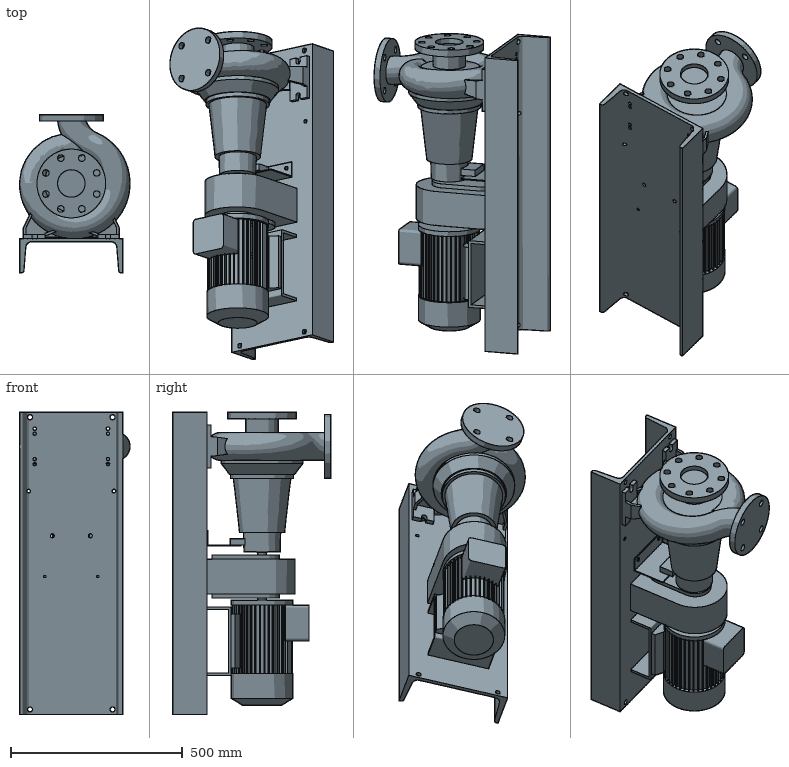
import cadquery as cq
import math


FRAME_LENGTH = 880.0
FRAME_WIDTH = 300.0
FRAME_DEPTH = 100.0
FRAME_BACK_Y = -160.0
WEB_THICKNESS = 10.0
FLANGE_THICKNESS = 16.0
FLANGE_SLOPE = 0.08
ROOT_RADIUS = 16.0
TOE_RADIUS = 8.0
CORNER_HOLE_X = 120.0
CORNER_HOLE_INSET = 15.0
CORNER_HOLE_DIAMETER = 14.0
SIDE_HOLE_X = 124.0
SIDE_HOLE_Z = -230.0
SIDE_HOLE_DIAMETER = 10.0

FLANGE_BOLT_DIAMETER = 19.0
SUCTION_RADIUS = 100.0
SUCTION_THICKNESS = 20.0
SUCTION_BOLT_RADIUS = 80.0
SUCTION_BOLT_COUNT = 8
SUCTION_BORE_RADIUS = 40.0
SUCTION_BORE_DEPTH = 15.0
NECK_RADIUS = 47.5
DISCHARGE_RADIUS = 93.0
DISCHARGE_THICKNESS = 18.5
DISCHARGE_BOLT_RADIUS = 70.0
DISCHARGE_BOLT_COUNT = 4
DISCHARGE_FACE_Y = 200.0

VOLUTE_Z = -100.0
TUBE_RADIUS = 41.0
RING_RADIUS = 120.0
RING_CENTER_X = 10.0
OUTLET_ANGLE = 66.5
SPIRAL_RADIUS = RING_RADIUS - RING_CENTER_X
SPIRAL_END_ANGLE = 70.0
SPIRAL_END_TUBE_RADIUS = 34.0
CORE_RADIUS = 95.0
CORE_TOP_Z = -71.0
CORE_EDGE_Z = -78.0

COVER_RADIUS = 119.0
COVER_TOP_Z = -139.0
COVER_BOTTOM_Z = -150.0
LANTERN_CONE_RADIUS = 95.0
LANTERN_RADIUS = 92.0
LANTERN_TOP_Z = -181.5
LANTERN_BOTTOM_Z = -193.5
BEARING_TOP_RADIUS = 84.0
BEARING_BOTTOM_RADIUS = 66.0
BEARING_BOTTOM_Z = -351.0
NOSE_TOP_RADIUS = 54.5
NOSE_BOTTOM_RADIUS = 53.0
NOSE_BOTTOM_Z = -407.0
SHAFT_RADIUS = 13.0
SHAFT_COLLAR_RADIUS = 17.0
SHAFT_COLLAR_LENGTH = 2.0

PAD_WIDTH = 80.0
PAD_HEIGHT = 19.0
PAD_NEAR_Y = -49.5
PAD_FAR_Y = -93.0

BRACKET_THICKNESS = 3.0
BRACKET_WIDTH = 150.0
BRACKET_FRONT_Y = -61.0
BRACKET_TOP_Z = -344.0
BRACKET_BOTTOM_Z = -390.0
BRACKET_HOLE_X = 55.0
BRACKET_HOLE_Z = -360.0
BRACKET_HOLE_DIAMETER = 11.0

FOOT_OUTER_X = 140.0
FOOT_INNER_X = 77.0
FOOT_HEIGHT = 126.0
FOOT_THICKNESS = 12.0
FOOT_TOP_Y = FRAME_BACK_Y + FOOT_THICKNESS
FOOT_WALL = 8.0
FOOT_WALL_BEND_Y = -129.0
FOOT_WALL_END_X = 118.0
FOOT_WALL_END_Y = -84.0
FOOT_WALL_BASE_HALF_HEIGHT = 29.0
FOOT_WALL_END_HALF_HEIGHT = 20.5
FOOT_WEB_THICKNESS = 10.0
INNER_WALL_START_Y = -145.0
INNER_WALL_END_X = 45.0
INNER_WALL_END_Y = -133.0
FOOT_BOLT_X = 106.5
FOOT_BOLT_OFFSETS_Z = (37.0, 51.5)
FOOT_BOLT_DIAMETER = 9.5
FOOT_SLOT_WIDTH = 15.0
FOOT_SLOT_OFFSET_Z = 51.5

GUARD_CENTER_Y = 3.0
GUARD_RADIUS = 93.5
GUARD_TOP_Z = -427.5
GUARD_BOTTOM_Z = -529.5
COLLAR_RADIUS = 47.0
COLLAR_SPREAD = 102.0
COLLAR_HEIGHT = 12.0
GUARD_HOLE_X = 77.0
GUARD_HOLE_Z = (GUARD_TOP_Z + GUARD_BOTTOM_Z) / 2
GUARD_HOLE_DIAMETER = 7.0

MOTOR_RADIUS = 90.0
MOTOR_TOP_Z = -547.0
MOTOR_FLANGE_BOTTOM_Z = -561.5
COWL_TOP_Z = -760.0
COWL_BOTTOM_Z = -833.0
COWL_END_Z = -853.0
COWL_END_RADIUS = 57.0
FIN_COUNT = 40
FIN_WIDTH = 2.5
FIN_OUTER_RADIUS = 88.0
FIN_ROOT_RADIUS = 80.0
BOX_WIDTH = 112.0
BOX_TOP_Z = MOTOR_FLANGE_BOTTOM_Z
BOX_HEIGHT = 105.0
BOX_FRONT_Y = 137.0
BOX_BACK_Y = 64.0
BOX_EDGE_RADIUS = 9.0
MOTOR_FOOT_HALF_WIDTH = 90.0
MOTOR_FOOT_TOP_Z = -588.0
MOTOR_FOOT_BOTTOM_Z = -745.0
MOTOR_FOOT_EDGE_Y = -78.0
MOTOR_FOOT_SHOULDER_X = 66.0
MOTOR_FOOT_SHOULDER_Y = -64.0

STAND_WIDTH = 184.0
STAND_THICKNESS = 8.0
STAND_TOP_Z = -567.0
STAND_BOTTOM_Z = -767.0
STAND_BEND_RADIUS = 3.0


def cylinder(radius, bottom_z, top_z, x=0.0, y=0.0):
    """Upright cylinder between two heights."""
    return cq.Workplane("XY", origin=(x, y, bottom_z)).circle(radius).extrude(top_z - bottom_z)


def block(x0, x1, y0, y1, z0, z1):
    """Box given by its limits along each axis."""
    return cq.Workplane("XY").box(x1 - x0, y1 - y0, z1 - z0, centered=False).translate((x0, y0, z0))


def holes_along_y(points, diameter, start_y, length):
    """Round bars at the given (x, z) points, running from start_y toward -Y."""
    plane = cq.Workplane("XZ", origin=(0, start_y, 0))
    return plane.pushPoints(points).circle(diameter / 2).extrude(length)


def mirrored(x, z):
    """The two (x, z) points on either side of the shaft axis."""
    return [(-x, z), (x, z)]


def bracket_hole_points():
    return mirrored(BRACKET_HOLE_X, BRACKET_HOLE_Z)


def foot_bolt_points():
    """Two rows of frame holes above and two below the volute centre, on both sides."""
    points = []
    for offset in FOOT_BOLT_OFFSETS_Z:
        points += mirrored(FOOT_BOLT_X, VOLUTE_Z + offset)
        points += mirrored(FOOT_BOLT_X, VOLUTE_Z - offset)
    return points


def make_frame():
    half = FRAME_WIDTH / 2
    toe_y = FRAME_BACK_Y - FRAME_DEPTH
    web_y = FRAME_BACK_Y - WEB_THICKNESS
    toe_thickness = FLANGE_THICKNESS - FLANGE_SLOPE * FRAME_DEPTH / 2
    root_thickness = FLANGE_THICKNESS + FLANGE_SLOPE * (FRAME_DEPTH / 2 - WEB_THICKNESS)
    toe_x = half - toe_thickness
    root_x = half - root_thickness
    outline = [
        (-half, FRAME_BACK_Y),
        (half, FRAME_BACK_Y),
        (half, toe_y),
        (toe_x, toe_y),
        (root_x, web_y),
        (-root_x, web_y),
        (-toe_x, toe_y),
        (-half, toe_y),
    ]
    frame = cq.Workplane("XY").polyline(outline).close().extrude(-FRAME_LENGTH)
    for sign in (-1, 1):
        root = cq.selectors.NearestToPointSelector((sign * root_x, web_y, -FRAME_LENGTH / 2))
        frame = frame.edges(root).fillet(ROOT_RADIUS)
        toe = cq.selectors.NearestToPointSelector((sign * toe_x, toe_y, -FRAME_LENGTH / 2))
        frame = frame.edges(toe).fillet(TOE_RADIUS)

    corner_points = mirrored(CORNER_HOLE_X, -CORNER_HOLE_INSET)
    corner_points += mirrored(CORNER_HOLE_X, CORNER_HOLE_INSET - FRAME_LENGTH)
    hole_groups = [
        (corner_points, CORNER_HOLE_DIAMETER),
        (mirrored(SIDE_HOLE_X, SIDE_HOLE_Z), SIDE_HOLE_DIAMETER),
        (foot_bolt_points(), FOOT_BOLT_DIAMETER),
        (bracket_hole_points(), BRACKET_HOLE_DIAMETER),
        (mirrored(GUARD_HOLE_X, GUARD_HOLE_Z), GUARD_HOLE_DIAMETER),
    ]
    hole_length = WEB_THICKNESS + ROOT_RADIUS
    for points, diameter in hole_groups:
        frame = frame.cut(holes_along_y(points, diameter, FRAME_BACK_Y, hole_length))
    return frame


def make_suction_side():
    """Suction flange with its blind bore, and the neck down to the volute."""
    flange = cylinder(SUCTION_RADIUS, -SUCTION_THICKNESS, 0)
    bolts = (
        cq.Workplane("XY")
        .polarArray(SUCTION_BOLT_RADIUS, 180 / SUCTION_BOLT_COUNT, 360, SUCTION_BOLT_COUNT)
        .circle(FLANGE_BOLT_DIAMETER / 2)
        .extrude(-SUCTION_THICKNESS)
    )
    neck = cylinder(NECK_RADIUS, CORE_TOP_Z, -SUCTION_THICKNESS)
    bore = cylinder(SUCTION_BORE_RADIUS, -SUCTION_BORE_DEPTH, 0)
    return flange.cut(bolts).union(neck).cut(bore)


def make_discharge_flange():
    plane = cq.Workplane("XZ", origin=(0, DISCHARGE_FACE_Y, VOLUTE_Z))
    flange = plane.circle(DISCHARGE_RADIUS).extrude(DISCHARGE_THICKNESS)
    bolts = (
        plane.polarArray(DISCHARGE_BOLT_RADIUS, 180 / DISCHARGE_BOLT_COUNT, 360, DISCHARGE_BOLT_COUNT)
        .circle(FLANGE_BOLT_DIAMETER / 2)
        .extrude(DISCHARGE_THICKNESS)
    )
    return flange.cut(bolts)


def arc_point(center_x, center_y, radius, angle):
    turn = math.radians(angle)
    return (center_x + radius * math.cos(turn), center_y + radius * math.sin(turn))


def make_volute_tube():
    """Round tube: a ring of constant section, then a reverse bend up to the discharge flange."""
    outlet_x, outlet_y = arc_point(RING_CENTER_X, 0, RING_RADIUS, OUTLET_ANGLE)
    turn = math.radians(OUTLET_ANGLE)
    bend_radius = outlet_x / (1 - math.cos(turn))
    bend_center_y = outlet_y + bend_radius * math.sin(turn)
    path = (
        cq.Workplane("XY", origin=(0, 0, VOLUTE_Z))
        .moveTo(RING_CENTER_X - RING_RADIUS, 0)
        .threePointArc((RING_CENTER_X, -RING_RADIUS), (RING_CENTER_X + RING_RADIUS, 0))
        .threePointArc(arc_point(RING_CENTER_X, 0, RING_RADIUS, OUTLET_ANGLE / 2), (outlet_x, outlet_y))
        .threePointArc(
            arc_point(bend_radius, bend_center_y, bend_radius, 180 + OUTLET_ANGLE / 2),
            (0, bend_center_y),
        )
    )
    start = cq.Workplane("XZ", origin=(RING_CENTER_X - RING_RADIUS, 0, VOLUTE_Z))
    return start.circle(TUBE_RADIUS).sweep(path)


def make_volute_spiral():
    """Narrowing tube that closes the volute between the ring and the outlet."""
    middle_angle = (180 + SPIRAL_END_ANGLE) / 2
    end_x, end_y = arc_point(0, 0, SPIRAL_RADIUS, SPIRAL_END_ANGLE)
    path = (
        cq.Workplane("XY", origin=(0, 0, VOLUTE_Z))
        .moveTo(-SPIRAL_RADIUS, 0)
        .threePointArc(arc_point(0, 0, SPIRAL_RADIUS, middle_angle), (end_x, end_y))
    )
    end_turn = math.radians(SPIRAL_END_ANGLE)
    start_plane = cq.Plane(origin=(-SPIRAL_RADIUS, 0, VOLUTE_Z), xDir=(-1, 0, 0), normal=(0, 1, 0))
    end_plane = cq.Plane(
        origin=(end_x, end_y, VOLUTE_Z),
        xDir=(math.cos(end_turn), math.sin(end_turn), 0),
        normal=(math.sin(end_turn), -math.cos(end_turn), 0),
    )
    start = cq.Workplane(start_plane).circle(TUBE_RADIUS)
    end = cq.Workplane(end_plane).circle(SPIRAL_END_TUBE_RADIUS)
    return start.add(end).toPending().sweep(path, multisection=True)


def make_bearing_housing():
    """Turned core of the pump, from inside the volute down to the shaft end."""
    shaft_end_z = GUARD_TOP_Z + COLLAR_HEIGHT
    profile = [
        (0, CORE_TOP_Z),
        (NECK_RADIUS, CORE_TOP_Z),
        (CORE_RADIUS, CORE_EDGE_Z),
        (CORE_RADIUS, COVER_TOP_Z),
        (COVER_RADIUS, COVER_TOP_Z),
        (COVER_RADIUS, COVER_BOTTOM_Z),
        (LANTERN_CONE_RADIUS, LANTERN_TOP_Z),
        (LANTERN_RADIUS, LANTERN_TOP_Z),
        (LANTERN_RADIUS, LANTERN_BOTTOM_Z),
        (BEARING_TOP_RADIUS, LANTERN_BOTTOM_Z),
        (BEARING_BOTTOM_RADIUS, BEARING_BOTTOM_Z),
        (NOSE_TOP_RADIUS, BEARING_BOTTOM_Z),
        (NOSE_BOTTOM_RADIUS, NOSE_BOTTOM_Z),
        (SHAFT_COLLAR_RADIUS, NOSE_BOTTOM_Z),
        (SHAFT_RADIUS, NOSE_BOTTOM_Z - SHAFT_COLLAR_LENGTH),
        (SHAFT_RADIUS, shaft_end_z),
        (0, shaft_end_z),
    ]
    return cq.Workplane("XZ").polyline(profile).close().revolve(360, (0, 0, 0), (0, 1, 0))


def make_foot():
    """Foot on the +X side: slotted plate, outer wall, inner wall and the web between them."""
    wall_half = FOOT_WALL_BASE_HALF_HEIGHT
    plate = block(
        FOOT_INNER_X, FOOT_OUTER_X,
        FRAME_BACK_Y, FOOT_TOP_Y,
        VOLUTE_Z - FOOT_HEIGHT / 2, VOLUTE_Z + FOOT_HEIGHT / 2,
    )
    for sign in (-1, 1):
        slot_z = VOLUTE_Z + sign * FOOT_SLOT_OFFSET_Z
        edge_z = VOLUTE_Z + sign * FOOT_HEIGHT / 2
        slot = block(
            FOOT_BOLT_X - FOOT_SLOT_WIDTH / 2, FOOT_BOLT_X + FOOT_SLOT_WIDTH / 2,
            FRAME_BACK_Y, FOOT_TOP_Y,
            min(slot_z, edge_z), max(slot_z, edge_z),
        )
        slot_end = holes_along_y([(FOOT_BOLT_X, slot_z)], FOOT_SLOT_WIDTH, FOOT_TOP_Y, FOOT_THICKNESS)
        plate = plate.cut(slot).cut(slot_end)

    base = cq.Workplane("XY", origin=(0, 0, VOLUTE_Z - wall_half))
    outer_wall = base.polyline([
        (FOOT_OUTER_X, FOOT_TOP_Y),
        (FOOT_OUTER_X, FOOT_WALL_BEND_Y),
        (FOOT_WALL_END_X, FOOT_WALL_END_Y),
        (FOOT_WALL_END_X - FOOT_WALL, FOOT_WALL_END_Y),
        (FOOT_OUTER_X - FOOT_WALL, FOOT_WALL_BEND_Y),
        (FOOT_OUTER_X - FOOT_WALL, FOOT_TOP_Y),
    ]).close().extrude(2 * wall_half)
    inner_wall = base.polyline([
        (FOOT_INNER_X, INNER_WALL_START_Y),
        (INNER_WALL_END_X, INNER_WALL_END_Y),
        (INNER_WALL_END_X, INNER_WALL_END_Y - FOOT_WALL),
        (FOOT_INNER_X, INNER_WALL_START_Y - FOOT_WALL),
    ]).close().extrude(2 * wall_half)
    taper = cq.Workplane("YZ").polyline([
        (FRAME_BACK_Y, VOLUTE_Z - wall_half),
        (FOOT_TOP_Y, VOLUTE_Z - wall_half),
        (FOOT_WALL_END_Y, VOLUTE_Z - FOOT_WALL_END_HALF_HEIGHT),
        (FOOT_WALL_END_Y, VOLUTE_Z + FOOT_WALL_END_HALF_HEIGHT),
        (FOOT_TOP_Y, VOLUTE_Z + wall_half),
        (FRAME_BACK_Y, VOLUTE_Z + wall_half),
    ]).close().extrude(FOOT_OUTER_X)
    walls = outer_wall.union(inner_wall).intersect(taper)

    web = cq.Workplane("XY", origin=(0, 0, VOLUTE_Z - FOOT_WEB_THICKNESS / 2)).polyline([
        (FOOT_OUTER_X - FOOT_WALL, FOOT_TOP_Y),
        (FOOT_OUTER_X - FOOT_WALL, FOOT_WALL_BEND_Y),
        (FOOT_WALL_END_X - FOOT_WALL, FOOT_WALL_END_Y),
        (INNER_WALL_END_X, INNER_WALL_END_Y),
        (INNER_WALL_END_X, FOOT_TOP_Y - FOOT_WALL),
        (FOOT_INNER_X, FOOT_TOP_Y - FOOT_WALL),
    ]).close().extrude(FOOT_WEB_THICKNESS)
    return plate.union(walls).union(web)


def make_pump():
    foot = make_foot()
    pad_bottom_z = BRACKET_BOTTOM_Z + BRACKET_THICKNESS
    pad = block(
        -PAD_WIDTH / 2, PAD_WIDTH / 2,
        PAD_FAR_Y, PAD_NEAR_Y,
        pad_bottom_z, pad_bottom_z + PAD_HEIGHT,
    )
    pump = make_bearing_housing()
    pump = pump.union(make_volute_tube())
    pump = pump.union(make_volute_spiral())
    pump = pump.union(make_suction_side())
    pump = pump.union(make_discharge_flange())
    pump = pump.union(foot).union(foot.mirror("YZ")).union(pad)
    frame_space = block(
        -FRAME_WIDTH / 2, FRAME_WIDTH / 2,
        FRAME_BACK_Y - FRAME_DEPTH, FRAME_BACK_Y,
        -FRAME_LENGTH, 0,
    )
    return pump.cut(frame_space)


def make_bracket():
    half = BRACKET_WIDTH / 2
    wall_front_y = FRAME_BACK_Y + BRACKET_THICKNESS
    shelf_top_z = BRACKET_BOTTOM_Z + BRACKET_THICKNESS
    shelf = block(-half, half, FRAME_BACK_Y, BRACKET_FRONT_Y, BRACKET_BOTTOM_Z, shelf_top_z)
    wall = block(-half, half, FRAME_BACK_Y, wall_front_y, BRACKET_BOTTOM_Z, BRACKET_TOP_Z)
    holes = holes_along_y(bracket_hole_points(), BRACKET_HOLE_DIAMETER, wall_front_y, BRACKET_THICKNESS)
    return shelf.union(wall).cut(holes)


def make_guard():
    """Round-fronted cover down to the frame, with an oblong collar at each end."""
    front = cylinder(GUARD_RADIUS, GUARD_BOTTOM_Z, GUARD_TOP_Z, y=GUARD_CENTER_Y)
    back = block(
        -GUARD_RADIUS, GUARD_RADIUS,
        FRAME_BACK_Y, GUARD_CENTER_Y,
        GUARD_BOTTOM_Z, GUARD_TOP_Z,
    )
    collar = (
        cq.Workplane("XY", origin=(0, 0, GUARD_BOTTOM_Z - COLLAR_HEIGHT))
        .center(0, GUARD_CENTER_Y - COLLAR_SPREAD / 2)
        .slot2D(COLLAR_SPREAD + 2 * COLLAR_RADIUS, 2 * COLLAR_RADIUS, 90)
        .extrude(GUARD_TOP_Z - GUARD_BOTTOM_Z + 2 * COLLAR_HEIGHT)
    )
    return front.union(back).union(collar)


def make_terminal_box():
    box = block(
        -BOX_WIDTH / 2, BOX_WIDTH / 2,
        BOX_BACK_Y, BOX_FRONT_Y,
        BOX_TOP_Z - BOX_HEIGHT, BOX_TOP_Z,
    )
    return box.edges("|Y").fillet(BOX_EDGE_RADIUS)


def make_motor_stand():
    """C-shaped strap between the motor feet and the frame."""
    half = STAND_WIDTH / 2
    outer = block(-half, half, FRAME_BACK_Y, -MOTOR_RADIUS, STAND_BOTTOM_Z, STAND_TOP_Z)
    outer = outer.edges("|X and >Y").fillet(STAND_BEND_RADIUS)
    opening = block(
        -half, half,
        FRAME_BACK_Y, -MOTOR_RADIUS - STAND_THICKNESS,
        STAND_BOTTOM_Z + STAND_THICKNESS, STAND_TOP_Z - STAND_THICKNESS,
    )
    return outer.cut(opening)


def make_motor():
    shaft_end_z = GUARD_BOTTOM_Z - COLLAR_HEIGHT
    profile = [
        (0, shaft_end_z),
        (SHAFT_RADIUS, shaft_end_z),
        (SHAFT_RADIUS, MOTOR_TOP_Z),
        (MOTOR_RADIUS, MOTOR_TOP_Z),
        (MOTOR_RADIUS, MOTOR_FLANGE_BOTTOM_Z),
        (FIN_ROOT_RADIUS, MOTOR_FLANGE_BOTTOM_Z),
        (FIN_ROOT_RADIUS, COWL_TOP_Z),
        (MOTOR_RADIUS, COWL_TOP_Z),
        (MOTOR_RADIUS, COWL_BOTTOM_Z),
        (COWL_END_RADIUS, COWL_END_Z),
        (0, COWL_END_Z),
    ]
    motor = cq.Workplane("XZ").polyline(profile).close().revolve(360, (0, 0, 0), (0, 1, 0))

    fin_middle_radius = (FIN_ROOT_RADIUS + FIN_OUTER_RADIUS) / 2
    fin_depth = FIN_OUTER_RADIUS - FIN_ROOT_RADIUS
    fins = (
        cq.Workplane("XY", origin=(0, 0, COWL_TOP_Z))
        .polarArray(fin_middle_radius - fin_depth / 2, 180 / FIN_COUNT, 360, FIN_COUNT)
        .rect(2 * fin_depth, FIN_WIDTH)
        .extrude(MOTOR_FLANGE_BOTTOM_Z - COWL_TOP_Z)
    )
    feet = cq.Workplane("XY", origin=(0, 0, MOTOR_FOOT_BOTTOM_Z)).polyline([
        (-MOTOR_FOOT_HALF_WIDTH, -MOTOR_RADIUS),
        (-MOTOR_FOOT_HALF_WIDTH, MOTOR_FOOT_EDGE_Y),
        (-MOTOR_FOOT_SHOULDER_X, MOTOR_FOOT_SHOULDER_Y),
        (MOTOR_FOOT_SHOULDER_X, MOTOR_FOOT_SHOULDER_Y),
        (MOTOR_FOOT_HALF_WIDTH, MOTOR_FOOT_EDGE_Y),
        (MOTOR_FOOT_HALF_WIDTH, -MOTOR_RADIUS),
    ]).close().extrude(MOTOR_FOOT_TOP_Z - MOTOR_FOOT_BOTTOM_Z)
    return motor.union(fins).union(make_terminal_box()).union(feet).union(make_motor_stand())


frame = make_frame()
pump = make_pump()
bracket = make_bracket()
guard = make_guard()
motor = make_motor()

bodies = [frame, pump, bracket, guard, motor]
result = cq.Compound.makeCompound([body.solids().val() for body in bodies])